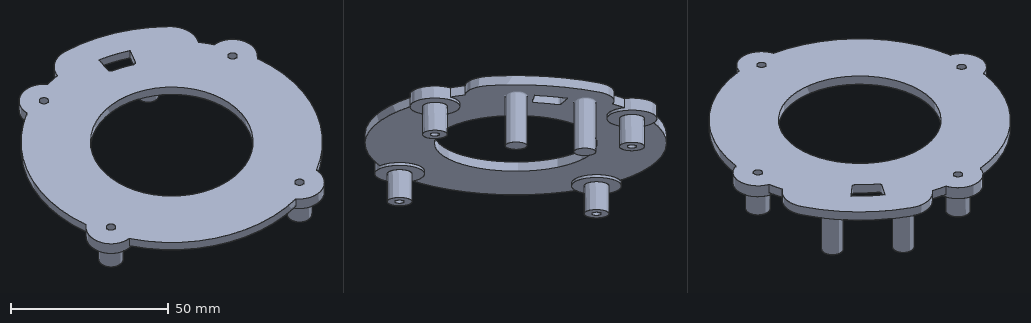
import cadquery as cq
import math

plate_thickness = 3.2
plate_radius = 48.0
bore_radius = 25.9

overall_size = 106.0
ear_radius = 8.0
ear_count = 4
ear_circle_radius = overall_size / 2 - ear_radius
pad_thickness = 1.0
spacer_diameter = 8.0
spacer_bottom = -10.4
screw_hole_diameter = 3.0

lobe_circle_radius = 45.4
lobe_end_radius = 9.3
lobe_mid_angle = 135.0
lobe_half_angle = 18.8
lobe_start_angle = lobe_mid_angle - lobe_half_angle
lobe_end_angle = lobe_mid_angle + lobe_half_angle

post_diameter = 7.0
post_spacing_angle = 28.8
post_end_angle = lobe_end_angle
post_start_angle = post_end_angle - post_spacing_angle
post_bottom = -17.3
post_root_fillet = 0.7

window_angle = 13.8
window_mid_angle = (post_start_angle + post_end_angle) / 2
window_inner_radius = 38.6
window_outer_radius = 45.2
window_corner_radius = 1.1


def polar(radius, angle):
    """Point at a radius and an angle in degrees around the plate centre."""
    turn = math.radians(angle)
    return (radius * math.cos(turn), radius * math.sin(turn))


def cylinder(center, diameter, bottom, top):
    """Upright cylinder between two heights."""
    return cq.Workplane("XY", origin=(*center, bottom)).circle(diameter / 2).extrude(top - bottom)


def ring_sector(inner_radius, outer_radius, start_angle, end_angle):
    """Plate-thick piece of a ring between two radial sides."""
    mid_angle = (start_angle + end_angle) / 2
    return (
        cq.Workplane("XY")
        .moveTo(*polar(inner_radius, start_angle))
        .lineTo(*polar(outer_radius, start_angle))
        .threePointArc(polar(outer_radius, mid_angle), polar(outer_radius, end_angle))
        .lineTo(*polar(inner_radius, end_angle))
        .threePointArc(polar(inner_radius, mid_angle), polar(inner_radius, start_angle))
        .close()
        .extrude(plate_thickness)
    )


def make_lobe():
    """Ring sector with a round end at each side."""
    lobe = ring_sector(
        lobe_circle_radius - lobe_end_radius,
        lobe_circle_radius + lobe_end_radius,
        lobe_start_angle,
        lobe_end_angle,
    )
    for angle in (lobe_start_angle, lobe_end_angle):
        center = polar(lobe_circle_radius, angle)
        lobe = lobe.union(cylinder(center, 2 * lobe_end_radius, 0, plate_thickness))
    return lobe


def make_window():
    """Cutter for the window, its two inner vertical edges rounded."""
    sector = ring_sector(
        window_inner_radius,
        window_outer_radius,
        window_mid_angle - window_angle / 2,
        window_mid_angle + window_angle / 2,
    )
    middle_radius = (window_inner_radius + window_outer_radius) / 2
    inner_corners = [
        edge
        for edge in sector.edges("|Z").vals()
        if math.hypot(edge.Center().x, edge.Center().y) < middle_radius
    ]
    return sector.newObject(inner_corners).fillet(window_corner_radius)


def make_post(center):
    """Post below the plate, flaring into the plate with a concave fillet."""
    radius = post_diameter / 2
    arc_offset = post_root_fillet * (1 - math.sqrt(0.5))
    return (
        cq.Workplane("XZ", origin=(*center, 0))
        .moveTo(0, 0)
        .lineTo(radius + post_root_fillet, 0)
        .threePointArc((radius + arc_offset, -arc_offset), (radius, -post_root_fillet))
        .lineTo(radius, post_bottom)
        .lineTo(0, post_bottom)
        .close()
        .revolve(360, (0, 0, 0), (0, 1, 0))
    )


ear_centers = [polar(ear_circle_radius, 360 / ear_count * index) for index in range(ear_count)]
post_centers = [polar(lobe_circle_radius, angle) for angle in (post_start_angle, post_end_angle)]

result = cylinder((0, 0), 2 * plate_radius, 0, plate_thickness).union(make_lobe())

for center in ear_centers:
    result = result.union(cylinder(center, 2 * ear_radius, -pad_thickness, plate_thickness))
    result = result.union(cylinder(center, spacer_diameter, spacer_bottom, 0))

for center in post_centers:
    result = result.union(make_post(center))

result = result.cut(cylinder((0, 0), 2 * bore_radius, 0, plate_thickness))
result = result.cut(make_window())
for center in ear_centers:
    result = result.cut(cylinder(center, screw_hole_diameter, spacer_bottom, plate_thickness))